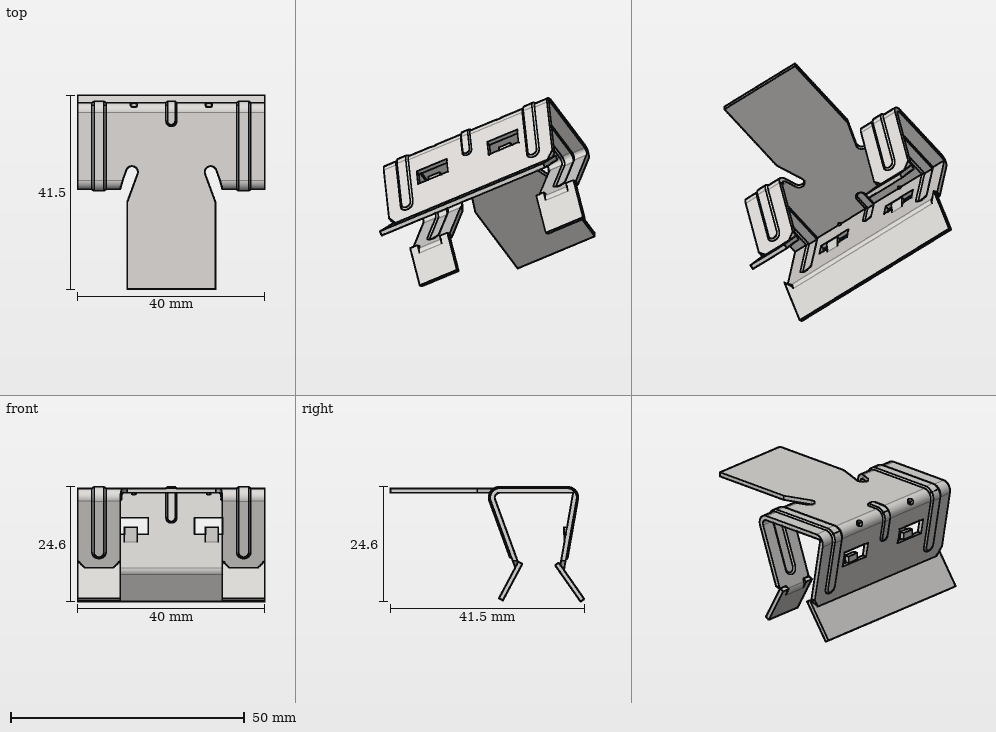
import cadquery as cq
import math


sheet = 1.0
bend_radius = 2 * sheet
half_width = 20.005
top_length = 14.5

tongue_half_width = 9.45
tongue_end = -37.85
neck_start = -19.25
slot_angle = math.radians(20)
slot_radius = 1.25
slot_center = (8.4, -12.8)
front_leg_inner_x = 10.9

rear_tilt = math.radians(10)
rear_leg_length = 15.4
rear_lip_tilt = math.radians(35)
rear_lip_length = 7.55

front_tilt = math.radians(20)
front_leg_length = 15.2
front_lip_tilt = math.radians(28)
front_lip_length = 7.42

lip_bend_radius = 1.8

corner_cut_top = -15.5
rear_cut_width = 1.4
rear_cut_height = 2.05
rear_ear_height = 1.95
front_cut = 1.82
front_ear_height = 1.45

bead_height = 0.35
side_bead_x = 15.45
side_bead_width = 3.03
side_bead_slope = 0.45
side_bead_reach = 13.15
side_channel_reach = 12.45
center_bead_width = 2.3
center_bead_slope = 0.35
center_bead_reach = 5.3
center_bead_top_reach = 3.03

window_inner_x = 4.98
window_outer_x = 12.3
window_top = -6.35
window_bottom = -9.8
tab_width = 2.78
tab_top = -8.3
tab_root = -11.45
tab_tilt = math.radians(2.5)

dimple_x = 8.0
dimple_position = 0.52
dimple_radius = 0.75
dimple_depth = 1.1


def move(point, direction, distance):
    """Point reached from a (Y, Z) point by moving along a direction."""
    return (point[0] + direction[0] * distance, point[1] + direction[1] * distance)


class Leg:
    """Key points and directions, in the YZ plane, of one leg and its lip."""

    def __init__(self, side, bend_y, tilt, length, lip_tilt, lip_length):
        self.side = side
        self.bend_y = bend_y
        self.bend_turn = math.pi / 2 + tilt
        self.lip_turn = tilt + lip_tilt
        self.bend_center = (bend_y, -bend_radius)
        self.outward = (side * math.cos(tilt), -math.sin(tilt))
        self.down = (-side * math.sin(tilt), -math.cos(tilt))
        self.lip_down = (side * math.sin(lip_tilt), -math.cos(lip_tilt))
        self.lip_inward = (-side * math.cos(lip_tilt), -math.sin(lip_tilt))
        inner_run = (bend_radius - sheet) * math.tan(self.bend_turn / 2)
        self.inner_corner = (bend_y + side * inner_run, -sheet)
        self.start = move(self.bend_center, self.outward, bend_radius)
        self.knee = move(self.start, self.down, length)
        self.lip_end = move(self.knee, self.lip_down, lip_length)
        self.lip_length = lip_length

    def bend_point(self, radius, fraction):
        """Point on the upper bend, from the top plate (0) to the leg (1)."""
        angle = self.bend_turn * fraction
        direction = (self.side * math.sin(angle), math.cos(angle))
        return move(self.bend_center, direction, radius)

    def section(self, sharp_inside):
        """Closed outline of the upper bend, leg and lip."""
        half_turn = self.lip_turn / 2
        inner_knee = move(self.knee, self.outward, -sheet)
        inner_knee = move(inner_knee, self.down, sheet * math.tan(half_turn))
        tangent = lip_bend_radius * math.tan(half_turn)
        round_start = move(inner_knee, self.down, -tangent)
        round_end = move(inner_knee, self.lip_down, tangent)
        round_center = move(round_start, self.outward, lip_bend_radius)
        toward_knee = (
            (inner_knee[0] - round_center[0]) * math.cos(half_turn) / lip_bend_radius,
            (inner_knee[1] - round_center[1]) * math.cos(half_turn) / lip_bend_radius,
        )
        round_middle = move(round_center, toward_knee, lip_bend_radius)
        inner_radius = bend_radius - sheet

        outline = (
            cq.Workplane("YZ")
            .moveTo(self.bend_y, 0)
            .threePointArc(self.bend_point(bend_radius, 0.5), self.start)
            .lineTo(*self.knee)
            .lineTo(*self.lip_end)
            .lineTo(*move(self.lip_end, self.lip_inward, sheet))
            .lineTo(*round_end)
            .threePointArc(round_middle, round_start)
        )
        if sharp_inside:
            outline = outline.lineTo(*self.inner_corner).lineTo(self.bend_y, -sheet)
        else:
            outline = outline.lineTo(*self.bend_point(inner_radius, 1))
            outline = outline.threePointArc(
                self.bend_point(inner_radius, 0.5), (self.bend_y, -sheet)
            )
        return outline.close()

    def bend_section(self):
        """Closed outline of the upper bend alone, round inside and outside."""
        inner_radius = bend_radius - sheet
        return (
            cq.Workplane("YZ")
            .moveTo(self.bend_y, 0)
            .threePointArc(self.bend_point(bend_radius, 0.5), self.start)
            .lineTo(*self.bend_point(inner_radius, 1))
            .threePointArc(self.bend_point(inner_radius, 0.5), (self.bend_y, -sheet))
            .close()
        )

    def lip_edge(self, edge_x, ear_x, edge_height, inner_height):
        """Outer strip of the lip, with an ear standing above the knee line."""
        plane = cq.Plane((0, *self.knee), (self.side, 0, 0), (0, *self.lip_inward))
        corners = [
            (edge_x, -self.lip_length),
            (edge_x, edge_height),
            (ear_x, inner_height),
            (ear_x, -self.lip_length),
        ]
        corners = [(self.side * x, height) for x, height in corners]
        return cq.Workplane(plane).polyline(corners).close().extrude(sheet)


rear = Leg(1, 0, rear_tilt, rear_leg_length, rear_lip_tilt, rear_lip_length)
front = Leg(-1, -top_length, front_tilt, front_leg_length, front_lip_tilt, front_lip_length)


def spread(outline, x_start, x_end):
    """Extrude a YZ outline between two X positions."""
    return outline.extrude(x_end - x_start).translate((x_start, 0, 0))


def cut_corner(body, leg, edge_x, ear_x, cut_height, ear_heights):
    """Cut one lower leg corner back to ear_x and restore the lip beside it."""
    cut_depth = 2 * bend_radius
    corner = (
        cq.Workplane("XZ", origin=(0, leg.knee[0] + cut_depth, 0))
        .moveTo(edge_x, corner_cut_top)
        .lineTo(ear_x, corner_cut_top - cut_height)
        .lineTo(edge_x, corner_cut_top - cut_height)
        .close()
        .extrude(2 * cut_depth)
    )
    return body.cut(corner).union(leg.lip_edge(edge_x, ear_x, *ear_heights))


def rear_leg():
    """Full-width rear leg with a sharp inside corner under the top plate."""
    body = spread(rear.section(True), -half_width, half_width)
    for side in (-1, 1):
        edge_x = side * half_width
        ear_x = side * (half_width - rear_cut_width)
        body = cut_corner(body, rear, edge_x, ear_x, rear_cut_height, (rear_ear_height, 0))
    return body


def front_leg(x_start, x_end):
    """One front leg with a round inside bend."""
    body = spread(front.section(False), x_start, x_end)
    for edge_x, ear_x in ((x_start, x_start + front_cut), (x_end, x_end - front_cut)):
        ear_heights = (front_ear_height, front_ear_height)
        body = cut_corner(body, front, edge_x, ear_x, front_cut, ear_heights)
    return body


def slot(side):
    """Round-ended slot between the tongue and one front leg."""
    across = (math.cos(slot_angle), math.sin(slot_angle))
    neck = (slot_center[0] - slot_radius * across[0], slot_center[1] - slot_radius * across[1])
    outer = move(slot_center, across, slot_radius)
    neck_end = (tongue_half_width, neck_start)
    outer_end = (outer[0] + (outer[1] + top_length) * math.tan(slot_angle), -top_length)
    tip = (slot_center[0], slot_center[1] + slot_radius)
    profile = (
        cq.Workplane("XY")
        .moveTo(*neck_end)
        .lineTo(*neck)
        .threePointArc(tip, outer)
        .lineTo(*outer_end)
        .lineTo(front_leg_inner_x, -top_length - bend_radius)
        .lineTo(front_leg_inner_x, neck_start)
        .close()
        .extrude(-2 * bend_radius)
    )
    return profile if side > 0 else profile.mirror("YZ")


def bead_end(x, point, outward, width, slope):
    """Rounded, sloped end of a bead."""
    return cq.Workplane(
        cq.Solid.makeCone(
            width / 2,
            width / 2 - slope,
            bead_height,
            cq.Vector(x, *point),
            cq.Vector(0, *outward),
        )
    )


def bead_section(x, width, slope, y, z):
    """Trapezoid across the top plate at the given Y, standing on height z."""
    corners = [
        (x - width / 2, z),
        (x - width / 2 + slope, z + bead_height),
        (x + width / 2 - slope, z + bead_height),
        (x + width / 2, z),
    ]
    return cq.Workplane("XZ", origin=(0, y, 0)).polyline(corners).close()


def bead_branch(leg, x, width, slope, reach, top_y, depth):
    """Bead from the top plate round one bend and down the leg, standing on a sheet depth."""
    radius = bend_radius - depth
    leg_start = leg.bend_point(radius, 1)
    leg_end = move(leg_start, leg.down, reach - width / 2)
    path = (
        cq.Workplane("YZ", origin=(x, 0, 0))
        .moveTo(top_y, -depth)
    )
    if leg is rear and depth == sheet:
        path = path.lineTo(*leg.inner_corner)
    else:
        path = path.lineTo(leg.bend_y, -depth)
        path = path.threePointArc(leg.bend_point(radius, 0.5), leg_start)
    path = path.lineTo(*leg_end)
    branch = bead_section(x, width, slope, top_y, -depth).sweep(path, transition="right")
    return branch.union(bead_end(x, leg_end, leg.outward, width, slope))


def side_bead(x, depth, reach):
    """Bead running over the top plate and down both legs."""
    middle_y = -top_length / 2
    branches = [
        bead_branch(leg, x, side_bead_width, side_bead_slope, reach, middle_y, depth)
        for leg in (rear, front)
    ]
    return branches[0].union(branches[1])


def center_bead(depth):
    """Short bead over the rear bend only."""
    top_y = center_bead_width / 2 - center_bead_top_reach
    shape = (center_bead_width, center_bead_slope)
    branch = bead_branch(rear, 0, *shape, center_bead_reach, top_y, depth)
    return branch.union(bead_end(0, (top_y, -depth), (0, 1), *shape))


def window(side):
    """Rectangular opening through the rear leg."""
    width = window_outer_x - window_inner_x
    height = window_top - window_bottom
    center_x = side * (window_inner_x + window_outer_x) / 2
    center_z = (window_top + window_bottom) / 2
    return cq.Workplane("XY").box(width, 4 * bend_radius, height).translate((center_x, 0, center_z))


def tab(side):
    """Lanced tab rising from below the window and leaning inward off the leg."""
    inner_start = move(rear.start, rear.outward, -sheet)
    root_drop = (inner_start[1] - tab_root) / math.cos(rear_tilt)
    root = move(inner_start, rear.down, root_drop)
    rise = tab_top - tab_root
    tip = (root[0] - rise * math.tan(tab_tilt), tab_top)
    corners = [root, tip, (tip[0] + sheet, tab_top), (root[0] + sheet, tab_root)]
    outline = cq.Workplane("YZ").polyline(corners).close()
    center_x = side * (window_inner_x + window_outer_x) / 2
    return spread(outline, center_x - tab_width / 2, center_x + tab_width / 2)


def dimple(side):
    """Cone pressed radially into the outside of the rear bend."""
    apex = rear.bend_point(bend_radius - dimple_depth, dimple_position)
    base = rear.bend_point(bend_radius + dimple_depth, dimple_position)
    cone = cq.Solid.makeCone(
        2 * dimple_radius,
        0,
        2 * dimple_depth,
        cq.Vector(side * dimple_x, *base),
        cq.Vector(0, apex[0] - base[0], apex[1] - base[1]),
    )
    return cq.Workplane(cone)


plate = cq.Workplane("XY").box(2 * half_width, top_length, sheet, centered=(True, False, False))
plate = plate.translate((0, -top_length, -sheet))
tongue = cq.Workplane("XY").box(2 * tongue_half_width, -tongue_end, sheet, centered=(True, False, False))
tongue = tongue.translate((0, tongue_end, -sheet))

clip = plate.union(tongue)
clip = clip.union(rear_leg())
clip = clip.union(front_leg(front_leg_inner_x, half_width))
clip = clip.union(front_leg(-half_width, -front_leg_inner_x))

clip = clip.union(spread(front.bend_section(), tongue_half_width, front_leg_inner_x))
clip = clip.union(spread(front.bend_section(), -front_leg_inner_x, -tongue_half_width))

for side in (-1, 1):
    clip = clip.cut(slot(side)).cut(window(side)).union(tab(side)).cut(dimple(side))

for x in (-side_bead_x, side_bead_x):
    clip = clip.union(side_bead(x, 0, side_bead_reach))
    clip = clip.cut(side_bead(x, sheet, side_channel_reach))
clip = clip.union(center_bead(0)).cut(center_bead(sheet))

result = clip